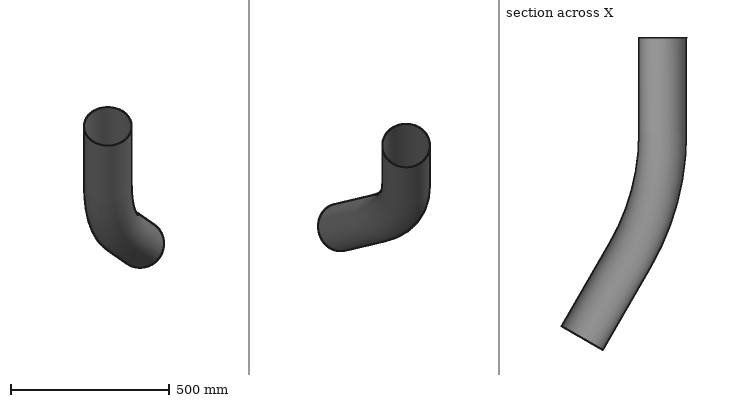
import cadquery as cq
import math

OUTER_DIAMETER = 152.4
INNER_DIAMETER = 149.2
LEG_LENGTH = 304.8
BEND_RADIUS = 5 * OUTER_DIAMETER
BEND_ANGLE = 30.0


def bend_point(angle_deg):
    """(Y, Z) on the bend centreline, measured from the bend's upper end."""
    angle = math.radians(angle_deg)
    return (BEND_RADIUS * (1 - math.cos(angle)), -BEND_RADIUS * math.sin(angle))


def tube_centreline():
    """Vertical upper leg, bend towards +Y, then the inclined lower leg."""
    bend_middle = bend_point(BEND_ANGLE / 2)
    bend_end = bend_point(BEND_ANGLE)
    slope = math.radians(BEND_ANGLE)
    lower_end = (
        bend_end[0] + LEG_LENGTH * math.sin(slope),
        bend_end[1] - LEG_LENGTH * math.cos(slope),
    )
    return (
        cq.Workplane("YZ")
        .moveTo(0, LEG_LENGTH)
        .lineTo(0, 0)
        .threePointArc(bend_middle, bend_end)
        .lineTo(*lower_end)
    )


def bent_tube():
    """Thin-walled round tube swept from the open top end to the open bottom end."""
    return (
        cq.Workplane("XY", origin=(0, 0, LEG_LENGTH))
        .circle(OUTER_DIAMETER / 2)
        .circle(INNER_DIAMETER / 2)
        .sweep(tube_centreline())
    )


result = bent_tube()